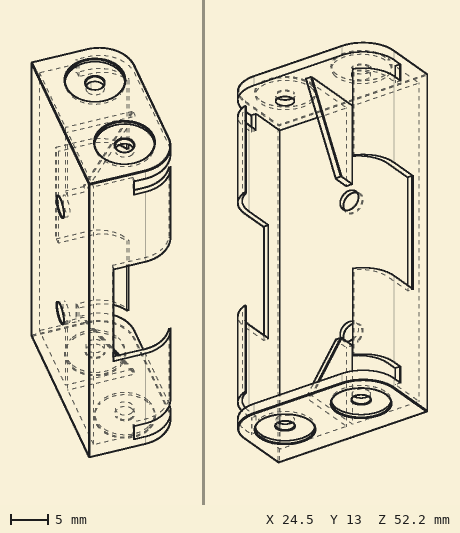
import cadquery as cq
import math

LENGTH = 52.25
WIDTH = 24.5
DEPTH = 13.0
CORNER_RADIUS = 5.0
CHAMFER = 0.1

END_WALL = 1.5
SIDE_WALL = 0.85
FLOOR = 0.9

CURL_DEPTH = 12.75
CURL_INNER_RADIUS = 4.8
GAP_LENGTH = 17.5
GAP_FLOOR = 3.55
SLOT_LENGTH = 2.5
SLOT_FLOOR = 6.5

SEAT_SPACING = 12.5
SEAT_Y = 7.05
SEAT_DIAMETER = 8.05
SEAT_RECESS = 0.5
TERMINAL_HOLE = 2.5

MOUNT_SPACING = 20.25
MOUNT_HOLE = 3.0

RIB_THICKNESS = 1.0
RIB_TOP = 10.5
RIB_ANGLE = 30.0
RIB_HOLE_CLEARANCE = 0.85

INNER_LENGTH = LENGTH - 2 * END_WALL
INNER_END = INNER_LENGTH / 2
CORNER_Y = DEPTH - CORNER_RADIUS


def long_block(width, bottom, top, length):
    """Block centred in X and Z that spans Y from bottom to top."""
    return cq.Workplane("XY").box(width, top - bottom, length).translate((0, (bottom + top) / 2, 0))


def body():
    """Rounded block with chamfered outer rims; the curled walls thin out toward the open side."""
    outer = long_block(WIDTH, 0, DEPTH, LENGTH).edges("|Z and >Y").fillet(CORNER_RADIUS)
    outer = outer.faces("<Y or <Z or >Z").chamfer(CHAMFER)
    inner = long_block(WIDTH - 2 * SIDE_WALL, FLOOR, DEPTH, INNER_LENGTH)
    return outer.cut(inner.edges("|Z and >Y").fillet(CURL_INNER_RADIUS))


def wall_opening(floor_y, length):
    """Cut across both side walls, with a chamfer on the outer edge of its floor."""
    opening = long_block(WIDTH, floor_y, DEPTH, length)
    half_width = WIDTH / 2
    edge_outline = [
        (half_width - CHAMFER, floor_y),
        (half_width, floor_y - CHAMFER),
        (half_width, floor_y),
    ]
    edge_cut = cq.Workplane("XY").polyline(edge_outline).close().extrude(length / 2, both=True)
    return opening.union(edge_cut).union(edge_cut.mirror("YZ"))


def side_wall_openings():
    """Space over the curled edges, the gap at mid length and a slot beside each end wall."""
    curl_rise = CURL_DEPTH - CORNER_Y
    curl_reach = CORNER_RADIUS - math.sqrt(CORNER_RADIUS**2 - curl_rise**2)
    mouth = long_block(WIDTH - 2 * curl_reach, SLOT_FLOOR, DEPTH, INNER_LENGTH)
    openings = mouth.union(wall_opening(GAP_FLOOR, GAP_LENGTH))
    slot = wall_opening(SLOT_FLOOR, SLOT_LENGTH)
    for end in (-1, 1):
        openings = openings.union(slot.translate((0, 0, end * (INNER_END - SLOT_LENGTH / 2))))
    return openings


def rib():
    """Rib at the +Z end with a chamfered slope, ending short of the mounting hole."""
    foot_z = (MOUNT_SPACING + MOUNT_HOLE) / 2 + RIB_HOLE_CLEARANCE
    foot_top = RIB_TOP - (INNER_END - foot_z) * math.tan(math.radians(RIB_ANGLE))
    outline = [(0, foot_z), (foot_top, foot_z), (RIB_TOP, INNER_END), (0, INNER_END)]
    plate = cq.Workplane("YZ").polyline(outline).close().extrude(RIB_THICKNESS / 2, both=True)
    slope = plate.faces(cq.selectors.NearestToPointSelector((0, RIB_TOP, foot_z)))
    return slope.edges("not |X").chamfer(CHAMFER)


def chamfered_bore(plane, diameter, depth):
    """Round bore with a chamfered rim on the given plane, running against the plane's normal."""
    radius = diameter / 2
    bore = cq.Workplane(plane).circle(radius).extrude(-depth)
    rim = cq.Workplane(plane).circle(radius + CHAMFER).extrude(-CHAMFER, taper=45)
    return bore.union(rim)


def terminal_seats():
    """Two recesses in the +Z end face, each with a smaller hole through the end wall."""
    recess = chamfered_bore("XY", SEAT_DIAMETER, SEAT_RECESS)
    hole = chamfered_bore("XY", TERMINAL_HOLE, END_WALL).translate((0, 0, -SEAT_RECESS))
    seat = recess.union(hole).translate((SEAT_SPACING / 2, SEAT_Y, LENGTH / 2))
    return seat.union(seat.mirror("YZ"))


def mounting_holes():
    hole = chamfered_bore("XZ", MOUNT_HOLE, 2 * FLOOR).translate((0, 0, MOUNT_SPACING / 2))
    return hole.union(hole.mirror("XY"))


upper_rib = rib()
upper_seats = terminal_seats()
holder = body().cut(side_wall_openings())
holder = holder.union(upper_rib).union(upper_rib.mirror("XY"))
holder = holder.cut(upper_seats).cut(upper_seats.mirror("XY"))
result = holder.cut(mounting_holes())